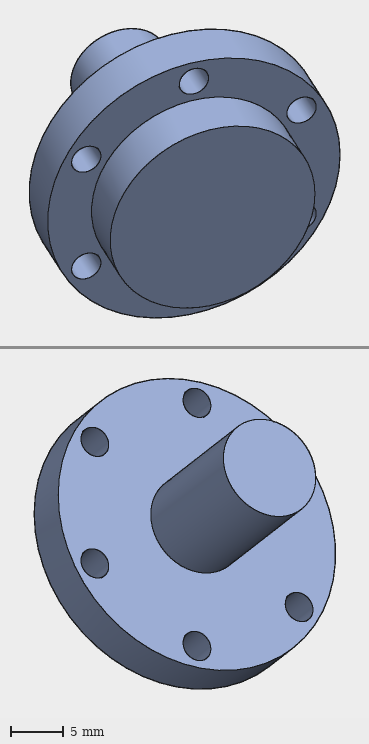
import cadquery as cq

total_length = 25.0
shaft_length = 15.0
shaft_diameter = 10.0
flange_diameter = 30.0
boss_diameter = 21.0
hole_count = 6
hole_diameter = 3.0
bolt_circle_diameter = 25.5

flange_thickness = (total_length - shaft_length) / 2
boss_length = flange_thickness
flange_start = shaft_length
boss_start = flange_start + flange_thickness


def cylinder_along_x(start, length, diameter):
    """Solid cylinder on the X axis, growing toward +X from start."""
    return cq.Workplane("YZ", origin=(start, 0, 0)).circle(diameter / 2).extrude(length)


shaft = cylinder_along_x(0, shaft_length, shaft_diameter)
flange = cylinder_along_x(flange_start, flange_thickness, flange_diameter)
boss = cylinder_along_x(boss_start, boss_length, boss_diameter)

bolt_holes = (
    cq.Workplane("YZ", origin=(flange_start, 0, 0))
    .polarArray(bolt_circle_diameter / 2, 90, 360, hole_count)
    .circle(hole_diameter / 2)
    .extrude(flange_thickness)
)

result = shaft.union(flange.cut(bolt_holes)).union(boss)